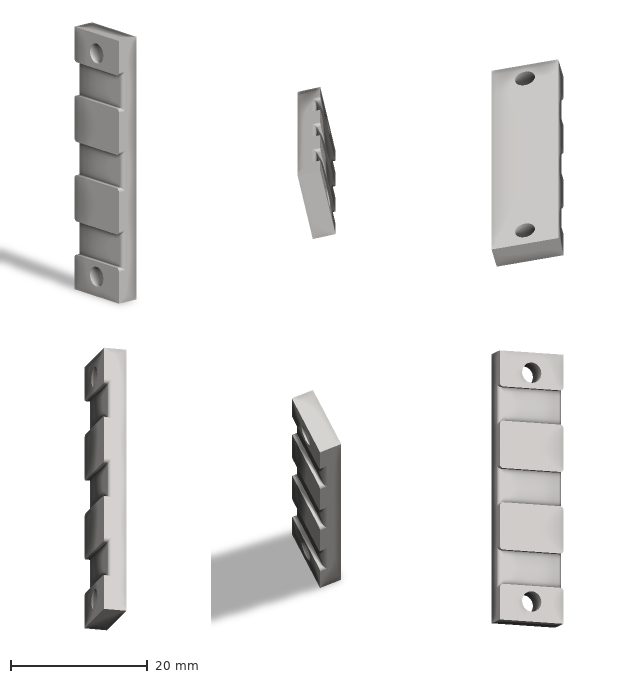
import cadquery as cq
import math

width = 10.0
thickness = 3.4
height = 40.0

hole_diameter = 3.0
hole_end_distance = 3.0

groove_count = 3
groove_width = 5.1
groove_depth = 0.7
groove_pitch = 12.1
mouth_radius = 0.5

front_y = -thickness / 2


def flared_band(plane, half_height):
    """Sketch a band across the full width that widens in a quarter round at each end."""
    end_x = width / 2
    neck_x = end_x - mouth_radius
    end_height = half_height + mouth_radius
    mid_x = neck_x + mouth_radius * math.sin(math.pi / 4)
    mid_height = end_height - mouth_radius * math.cos(math.pi / 4)
    return (
        cq.Workplane(plane)
        .moveTo(-neck_x, half_height)
        .lineTo(neck_x, half_height)
        .threePointArc((mid_x, mid_height), (end_x, end_height))
        .lineTo(end_x, -end_height)
        .threePointArc((mid_x, -mid_height), (neck_x, -half_height))
        .lineTo(-neck_x, -half_height)
        .threePointArc((-mid_x, -mid_height), (-end_x, -end_height))
        .lineTo(-end_x, end_height)
        .threePointArc((-mid_x, mid_height), (-neck_x, half_height))
        .close()
    )


def groove_cutter():
    """Groove centred on Z = 0: rounded walls and rounded floor, mitred where they meet."""
    walls = flared_band("XZ", groove_width / 2).extrude(thickness, both=True)
    floor = flared_band("XY", groove_depth).extrude(groove_width, both=True)
    return walls.intersect(floor.translate((0, front_y, 0)))


bar = cq.Workplane("XY").box(width, thickness, height)

hole_z = height / 2 - hole_end_distance
holes = (
    cq.Workplane("XZ")
    .pushPoints([(0, -hole_z), (0, hole_z)])
    .circle(hole_diameter / 2)
    .extrude(thickness, both=True)
)
result = bar.cut(holes)

groove = groove_cutter()
for index in range(groove_count):
    groove_z = (index - (groove_count - 1) / 2) * groove_pitch
    result = result.cut(groove.translate((0, 0, groove_z)))